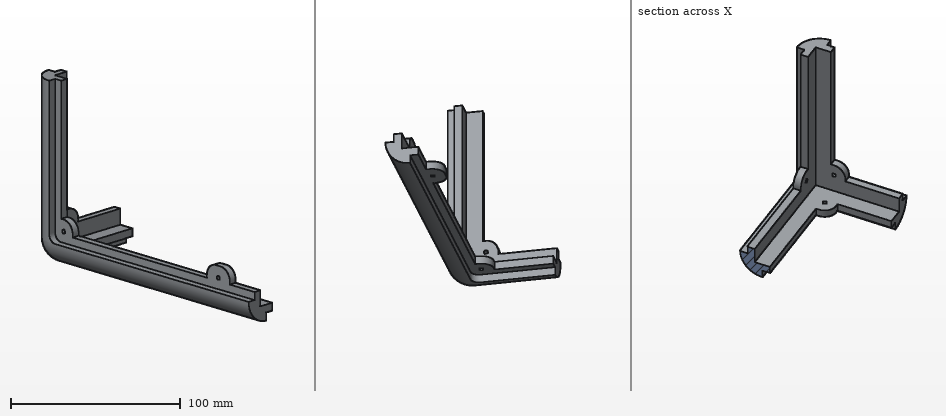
import cadquery as cq
import math

ARM_LENGTH_X = 180.0
ARM_LENGTH_Y = 65.0
ARM_LENGTH_Z = 115.0

OUTER_RADIUS = 15.0
WALL_OUTER = 5.0
WALL_THICKNESS = 5.0
WALL_INNER = WALL_OUTER + WALL_THICKNESS
LIP_HEIGHT = 5.0
WALL_EDGE = OUTER_RADIUS + LIP_HEIGHT
LEDGE_FILLET = LIP_HEIGHT

HOLE_DIAMETER = 2.4
HOLE_OFFSET = 2.0
HOLE_CENTER = WALL_EDGE + HOLE_OFFSET
EAR_RADIUS = 7.5
EAR_TOP = HOLE_CENTER + EAR_RADIUS
MID_EAR_X = 150.0
MID_EAR_FLAT = 4.0

DIAGONAL = math.sqrt(0.5)

XY_WALL = cq.Plane(origin=(0, 0, WALL_OUTER), xDir=(1, 0, 0), normal=(0, 0, 1))
YZ_WALL = cq.Plane(origin=(WALL_OUTER, 0, 0), xDir=(0, 1, 0), normal=(1, 0, 0))
ZX_WALL = cq.Plane(origin=(0, WALL_OUTER, 0), xDir=(0, 0, 1), normal=(0, 1, 0))
WALLS = (XY_WALL, YZ_WALL, ZX_WALL)


def make_arm(section_plane, length):
    """One straight arm, starting where the rounded corner ends."""
    arc_middle = OUTER_RADIUS * (1 - DIAGONAL)
    return (
        cq.Workplane(section_plane)
        .workplane(offset=OUTER_RADIUS)
        .moveTo(0, OUTER_RADIUS)
        .threePointArc((arc_middle, arc_middle), (OUTER_RADIUS, 0))
        .lineTo(OUTER_RADIUS, WALL_OUTER)
        .lineTo(WALL_EDGE, WALL_OUTER)
        .lineTo(WALL_EDGE, WALL_INNER)
        .lineTo(WALL_INNER, WALL_INNER)
        .lineTo(WALL_INNER, WALL_EDGE)
        .lineTo(WALL_OUTER, WALL_EDGE)
        .lineTo(WALL_OUTER, OUTER_RADIUS)
        .close()
        .extrude(length - OUTER_RADIUS)
    )


def make_corner():
    """Spherical octant joining the arms, hollowed to the inner faces of the walls."""
    arc_middle = OUTER_RADIUS * DIAGONAL
    ball_center = (OUTER_RADIUS, OUTER_RADIUS, OUTER_RADIUS)
    octant = (
        cq.Workplane("XZ", origin=ball_center)
        .lineTo(-OUTER_RADIUS, 0)
        .threePointArc((-arc_middle, -arc_middle), (0, -OUTER_RADIUS))
        .close()
        .revolve(90, (0, 0), (0, 1))
    )
    hollow_size = OUTER_RADIUS - WALL_INNER
    hollow = (
        cq.Workplane("XY")
        .box(hollow_size, hollow_size, hollow_size, centered=False)
        .translate((WALL_INNER, WALL_INNER, WALL_INNER))
    )
    return octant.cut(hollow)


def make_ledge_fillet(wall):
    """Concave fillet where the ledges of two arms meet, in front of the shared wall."""
    arc_middle = WALL_EDGE - LEDGE_FILLET * DIAGONAL
    return (
        cq.Workplane(wall)
        .moveTo(OUTER_RADIUS, OUTER_RADIUS)
        .lineTo(WALL_EDGE, OUTER_RADIUS)
        .threePointArc((arc_middle, arc_middle), (OUTER_RADIUS, WALL_EDGE))
        .close()
        .extrude(-WALL_OUTER)
    )


def make_corner_ear(wall):
    """Ear in the angle between two arms, rounded about its screw hole."""
    arc_middle = HOLE_CENTER + EAR_RADIUS * DIAGONAL
    return (
        cq.Workplane(wall)
        .moveTo(WALL_INNER, WALL_INNER)
        .lineTo(EAR_TOP, WALL_INNER)
        .lineTo(EAR_TOP, HOLE_CENTER)
        .threePointArc((arc_middle, arc_middle), (HOLE_CENTER, EAR_TOP))
        .lineTo(WALL_INNER, EAR_TOP)
        .close()
        .extrude(WALL_THICKNESS)
    )


def make_mid_ear():
    """Ear on the XY wall of the X arm, with both outer corners rounded."""
    half_flat = MID_EAR_FLAT / 2
    half_width = half_flat + EAR_RADIUS
    corner_run = half_flat + EAR_RADIUS * DIAGONAL
    corner_rise = HOLE_CENTER + EAR_RADIUS * DIAGONAL
    return (
        cq.Workplane(XY_WALL)
        .moveTo(MID_EAR_X - half_width, WALL_INNER)
        .lineTo(MID_EAR_X + half_width, WALL_INNER)
        .lineTo(MID_EAR_X + half_width, HOLE_CENTER)
        .threePointArc((MID_EAR_X + corner_run, corner_rise), (MID_EAR_X + half_flat, EAR_TOP))
        .lineTo(MID_EAR_X - half_flat, EAR_TOP)
        .threePointArc((MID_EAR_X - corner_run, corner_rise), (MID_EAR_X - half_width, HOLE_CENTER))
        .close()
        .extrude(WALL_THICKNESS)
    )


def make_screw_hole(wall, along, across):
    """Drill for a screw hole straight through a wall."""
    return (
        cq.Workplane(wall)
        .center(along, across)
        .circle(HOLE_DIAMETER / 2)
        .extrude(WALL_THICKNESS)
    )


def swap_y_and_z(shape):
    """Mirror about the plane y = z, which carries the XY wall onto the ZX wall."""
    half_turn_axis = (0, 1, 1)
    return shape.rotate((0, 0, 0), half_turn_axis, 180).mirror("YZ")


body = make_corner()
body = body.union(make_arm("YZ", ARM_LENGTH_X))
body = body.union(make_arm("ZX", ARM_LENGTH_Y))
body = body.union(make_arm("XY", ARM_LENGTH_Z))

for shared_wall in WALLS:
    body = body.union(make_ledge_fillet(shared_wall))
    body = body.union(make_corner_ear(shared_wall))
    body = body.cut(make_screw_hole(shared_wall, HOLE_CENTER, HOLE_CENTER))

mid_ear = make_mid_ear()
mid_hole = make_screw_hole(XY_WALL, MID_EAR_X, HOLE_CENTER)
body = body.union(mid_ear).union(swap_y_and_z(mid_ear))
body = body.cut(mid_hole).cut(swap_y_and_z(mid_hole))

result = body